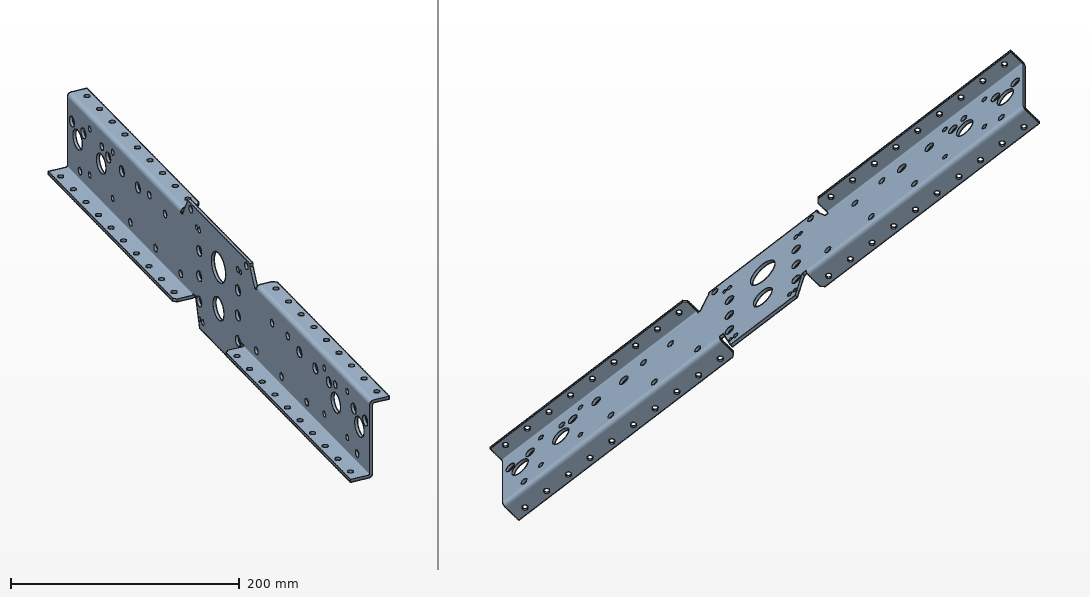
import cadquery as cq


LENGTH = 609.5
HEIGHT = 116.5
DEPTH = 38.0
THICKNESS = 3.0
HALF_LENGTH = LENGTH / 2
PITCH = LENGTH / 24

ARM_BOTTOM = 24.0
ARM_TOP = 101.0
BEND_INNER_RADIUS = 1.0
BEND_OUTER_RADIUS = BEND_INNER_RADIUS + THICKNESS

TOP_FLANGE_INNER_END = 3 * PITCH
TOP_FLANGE_REACH = 17.5
TOP_FLANGE_HOLES = 9
BOTTOM_FLANGE_INNER_END = 2 * PITCH
BOTTOM_FLANGE_REACH = DEPTH - TOP_FLANGE_REACH
BOTTOM_FLANGE_HOLES = 10
FLANGE_CHAMFER = 3.0
FLANGE_HOLE_DIAMETER = 5.3
FLANGE_HOLE_EDGE_DISTANCE = 6.0

TOP_TAB_HALF_WIDTH = 2.5 * PITCH
TOP_TAB_SHOULDER_Z = 113.5
TOP_TAB_ROOT_X = 73.0
BOTTOM_TAB_HALF_WIDTH = 1.5 * PITCH
BOTTOM_TAB_ROOT_X = 46.5

UPPER_CENTRE_DIAMETER = 28.5
LOWER_CENTRE_DIAMETER = 22.0
BEARING_DIAMETER = 19.0
LARGE_DIAMETER = 10.0
MEDIUM_DIAMETER = 7.0
SCREW_DIAMETER = 5.3
SMALL_DIAMETER = 5.05
PIN_DIAMETER = 4.1

BEARING_Z = 64.5
INNER_BEARING_X = 236.5
OUTER_BEARING_X = 284.0
SCREW_SQUARE_HALF = 23.0
PAIR_HALF_SPACING = 11.5
PAIR_RISE = 12.0

COLUMN_X = 39.0
COLUMN_MIDDLE_Z = 52.0

LARGE_ROW_Z = 78.0
LARGE_ROW_X = (163.0, 195.0, 222.5)
LOWER_ROW_Z = 35.5
LOWER_ROW_STEPS = (3, 5, 7, 11)

UPPER_PAIR_Z = 98.0
LOWER_PAIR_Z = 9.0

SIDES = (-1, 1)

CENTRE_HOLES = [
    (UPPER_CENTRE_DIAMETER, 0, 80.5),
    (LOWER_CENTRE_DIAMETER, 0, 39.0),
]

SIDE_HOLES = [
    (MEDIUM_DIAMETER, 56.0, 110.5),
    (MEDIUM_DIAMETER, 108.0, 79.0),
    (MEDIUM_DIAMETER, 139.5, 82.0),
    (MEDIUM_DIAMETER, 235.5, 82.0),
    (SMALL_DIAMETER, COLUMN_X, UPPER_PAIR_Z),
    (PIN_DIAMETER, 44.5, UPPER_PAIR_Z),
    (SMALL_DIAMETER, 32.0, LOWER_PAIR_Z),
    (PIN_DIAMETER, 38.0, LOWER_PAIR_Z),
    (BEARING_DIAMETER, INNER_BEARING_X, BEARING_Z),
    (BEARING_DIAMETER, OUTER_BEARING_X, BEARING_Z),
]
SIDE_HOLES += [(LARGE_DIAMETER, x, LARGE_ROW_Z) for x in LARGE_ROW_X]
SIDE_HOLES += [(LARGE_DIAMETER, COLUMN_X, COLUMN_MIDDLE_Z + step * PITCH) for step in (-1, 0, 1)]
SIDE_HOLES += [(MEDIUM_DIAMETER, step * PITCH, LOWER_ROW_Z) for step in LOWER_ROW_STEPS]
SIDE_HOLES += [
    (SCREW_DIAMETER, INNER_BEARING_X + i * SCREW_SQUARE_HALF, BEARING_Z + j * SCREW_SQUARE_HALF)
    for i in SIDES
    for j in SIDES
]
SIDE_HOLES += [
    (LARGE_DIAMETER, OUTER_BEARING_X + side * PAIR_HALF_SPACING, BEARING_Z + PAIR_RISE)
    for side in SIDES
]


def plate():
    """Flat plate: two arms and the central tabs, with the arms stopping where the bends begin."""
    arm_top = ARM_TOP - BEND_OUTER_RADIUS
    arm_bottom = ARM_BOTTOM + BEND_OUTER_RADIUS
    right = [
        (BOTTOM_TAB_HALF_WIDTH, 0),
        (BOTTOM_TAB_ROOT_X, arm_bottom),
        (HALF_LENGTH, arm_bottom),
        (HALF_LENGTH, arm_top),
        (TOP_TAB_ROOT_X, arm_top),
        (TOP_TAB_HALF_WIDTH, TOP_TAB_SHOULDER_Z),
        (TOP_TAB_HALF_WIDTH, HEIGHT),
    ]
    left = [(-x, z) for x, z in reversed(right)]
    return cq.Workplane("XZ").polyline(right + left).close().extrude(THICKNESS / 2, both=True)


def flange(inner_end, reach, hole_count):
    """Bend and lip on top of the right arm, toward +Y, with a chamfered inner corner and holes."""
    front = -THICKNESS / 2
    back = THICKNESS / 2
    lip_bottom = ARM_TOP - THICKNESS
    bend_y = front + BEND_OUTER_RADIUS
    bend_z = ARM_TOP - BEND_OUTER_RADIUS
    body = (
        cq.Workplane("YZ", origin=(inner_end, 0, 0))
        .moveTo(front, bend_z)
        .radiusArc((bend_y, ARM_TOP), BEND_OUTER_RADIUS)
        .lineTo(reach, ARM_TOP)
        .lineTo(reach, lip_bottom)
        .lineTo(bend_y, lip_bottom)
        .radiusArc((back, bend_z), -BEND_INNER_RADIUS)
        .close()
        .extrude(HALF_LENGTH - inner_end)
        .edges("|Z and >Y and <X")
        .chamfer(FLANGE_CHAMFER)
    )
    hole_points = [(HALF_LENGTH - (i + 0.5) * PITCH, 0) for i in range(hole_count)]
    holes = (
        cq.Workplane("XY", origin=(0, reach - FLANGE_HOLE_EDGE_DISTANCE, lip_bottom))
        .pushPoints(hole_points)
        .circle(FLANGE_HOLE_DIAMETER / 2)
        .extrude(THICKNESS)
    )
    return body.cut(holes)


def top_flange():
    return flange(TOP_FLANGE_INNER_END, TOP_FLANGE_REACH, TOP_FLANGE_HOLES)


def bottom_flange():
    """A flange turned half a revolution about the arm's long axis, so that it points to -Y."""
    middle_z = (ARM_TOP + ARM_BOTTOM) / 2
    upright = flange(BOTTOM_FLANGE_INNER_END, BOTTOM_FLANGE_REACH, BOTTOM_FLANGE_HOLES)
    return upright.rotate((0, 0, middle_z), (1, 0, middle_z), 180)


def with_mirror(shape):
    return shape.union(shape.mirror("YZ"))


def drill(diameter, x, z):
    return cq.Workplane("XZ").center(x, z).circle(diameter / 2).extrude(THICKNESS, both=True)


result = plate()
result = result.union(with_mirror(top_flange()))
result = result.union(with_mirror(bottom_flange()))

for diameter, x, z in CENTRE_HOLES:
    result = result.cut(drill(diameter, x, z))

for diameter, x, z in SIDE_HOLES:
    for side in SIDES:
        result = result.cut(drill(diameter, side * x, z))